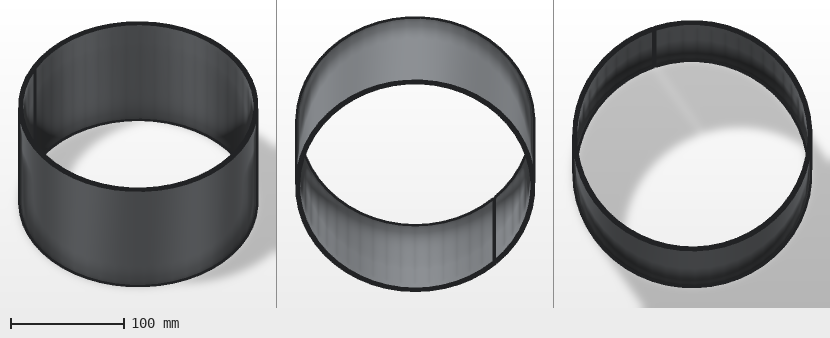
import cadquery as cq

outer_diameter = 210.0
wall_thickness = 2.5
height = 120.0
gap_angle = 1.0
outer_chamfer = 0.5
inner_chamfer = 0.2

outer_radius = outer_diameter / 2
inner_radius = outer_radius - wall_thickness
sweep_angle = 360.0 - gap_angle


def make_wall_section():
    """Cross-section of the wall on the -X side, with all four corners chamfered."""
    return (
        cq.Workplane("XZ")
        .moveTo(-outer_radius, outer_chamfer)
        .lineTo(-outer_radius, height - outer_chamfer)
        .lineTo(-outer_radius + outer_chamfer, height)
        .lineTo(-inner_radius - inner_chamfer, height)
        .lineTo(-inner_radius, height - inner_chamfer)
        .lineTo(-inner_radius, inner_chamfer)
        .lineTo(-inner_radius - inner_chamfer, 0)
        .lineTo(-outer_radius + outer_chamfer, 0)
        .close()
    )


def make_split_sleeve():
    """Revolve the wall about Z, stopping short of a full turn to leave the gap.

    One end face lies on the XZ plane and the gap opens toward +Y from it.
    """
    axis_start = (0, 0)
    axis_end = (0, 1)
    return make_wall_section().revolve(sweep_angle, axis_start, axis_end)


result = make_split_sleeve()